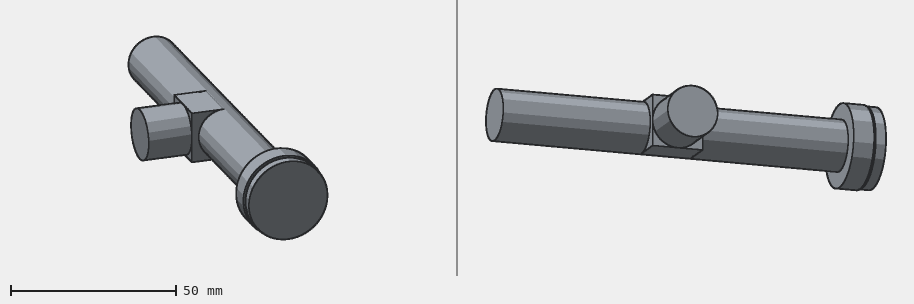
import cadquery as cq

total_length = 121.1
rod_diameter = 16.0

collar_diameter = 26.0
collar_width = 6.5
groove_diameter = 24.5
groove_width = 0.7
disc_diameter = 25.3
disc_width = 3.3
rod_length = total_length - collar_width - groove_width - disc_width

branch_x = 55.1
block_reach = 10.2
overall_depth = 37.0
branch_reach = overall_depth - collar_diameter / 2


def cylinder_along_x(start_x, length, diameter):
    return cq.Workplane("YZ", origin=(start_x, 0, 0)).circle(diameter / 2).extrude(length)


def make_branch():
    base = cq.Workplane("XZ", origin=(branch_x, 0, 0))
    block = base.rect(rod_diameter, rod_diameter).extrude(block_reach)
    stub = base.circle(rod_diameter / 2).extrude(branch_reach)
    return block.union(stub)


sections = [
    (rod_length, rod_diameter),
    (collar_width, collar_diameter),
    (groove_width, groove_diameter),
    (disc_width, disc_diameter),
]
result = make_branch()
section_start = 0.0
for length, diameter in sections:
    result = result.union(cylinder_along_x(section_start, length, diameter))
    section_start += length